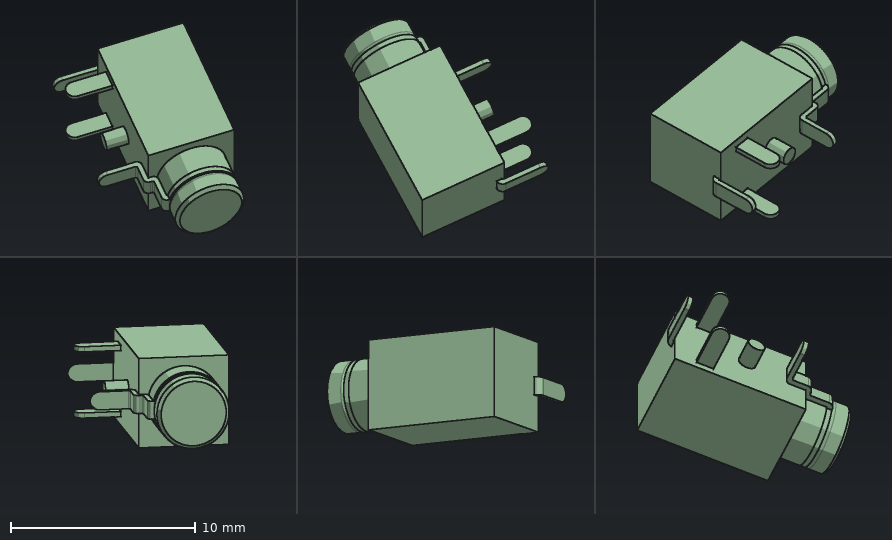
import cadquery as cq

box_length = 7.8
box_side = 5.0
box_front = box_side / 2
barrel_length = 3.0
barrel_radius = 2.0
tip_chamfer = 0.2
tip_round = 0.2
peg_x = 4.29
peg_radius = 0.5
peg_length = 1.28

sheet = 0.3
leg_width = 1.0
leg_reach = 2.51
leg_end_y = -box_front - leg_reach
leg_round_y = leg_end_y + leg_width / 2
inner_bend = 0.1
outer_bend = 0.3

ring_end_x = box_length + 1.8
ring_start_x = ring_end_x - sheet
ring_bore_radius = 1.5
ring_tab = 0.22
sleeve_leg_x = 6.55

rear_overhang = 11.15 - box_length - barrel_length
rear_bend_y = -2.02
rear_outer_bend = inner_bend + sheet
rear_depth = 0.45

tip_leg_x = 1.8
tip_contact_height = 2 * barrel_radius
bridge_depth = 1.0


def rounded_leg_end(leg_x):
    """Half-round end of a leg that is flat in the YZ plane."""
    return (
        cq.Workplane("YZ", origin=(leg_x, leg_round_y, 0))
        .circle(leg_width / 2)
        .extrude(sheet)
    )


def bent_strip(outline, bends):
    """Extrude the strip's side outline and round the corners given in bends."""
    strip = cq.Workplane("XY").polyline(outline).close().extrude(leg_width / 2, both=True)
    for (x, y), radius in bends:
        corner = cq.selectors.NearestToPointSelector((x, y, 0))
        strip = strip.edges("|Z").edges(corner).fillet(radius)
    return strip


def make_sleeve_contact():
    leg_outside = sleeve_leg_x + sheet
    step_outside = box_length + sheet
    mount_y = -box_front
    upper_y = -barrel_radius
    leg_corner = (sleeve_leg_x, mount_y)
    leg_inner = (leg_outside, mount_y - sheet)
    step_low = (step_outside, mount_y - sheet)
    step_inner = (step_outside, upper_y - sheet)
    step_high = (box_length, upper_y)
    ring_corner = (ring_end_x, upper_y - sheet)
    ring_inner = (ring_start_x, upper_y)
    outline = [
        (sleeve_leg_x, leg_round_y),
        leg_corner,
        (box_length, mount_y),
        step_high,
        ring_inner,
        (ring_start_x, upper_y + ring_tab),
        (ring_end_x, upper_y + ring_tab),
        ring_corner,
        step_inner,
        step_low,
        leg_inner,
        (leg_outside, leg_round_y),
    ]
    bends = [(corner, outer_bend) for corner in (leg_corner, step_low, step_high, ring_corner)]
    bends += [(corner, inner_bend) for corner in (leg_inner, step_inner, ring_inner)]
    ring = (
        cq.Workplane("YZ", origin=(ring_start_x, 0, 0))
        .circle(barrel_radius)
        .circle(ring_bore_radius)
        .extrude(sheet)
    )
    return bent_strip(outline, bends).union(rounded_leg_end(sleeve_leg_x)).union(ring)


def make_rear_terminal():
    outer_corner = (-rear_overhang, rear_bend_y)
    inner_corner = (-rear_overhang + sheet, rear_bend_y - sheet)
    outline = [
        (-rear_overhang, leg_round_y),
        outer_corner,
        (rear_depth, rear_bend_y),
        (rear_depth, rear_bend_y - sheet),
        inner_corner,
        (-rear_overhang + sheet, leg_round_y),
    ]
    bends = [(outer_corner, rear_outer_bend), (inner_corner, inner_bend)]
    return bent_strip(outline, bends).union(rounded_leg_end(-rear_overhang))


def make_tip_contact():
    """U-shaped contact: flat legs at top and bottom, bridge behind the mounting face."""
    bridge_y = -box_front + bridge_depth
    contact = (
        cq.Workplane("XY")
        .box(leg_width, sheet, tip_contact_height)
        .translate((tip_leg_x, bridge_y - sheet / 2, 0))
    )
    straight_length = bridge_y - leg_round_y
    for side in (-1, 1):
        leg_z = side * (tip_contact_height - sheet) / 2
        leg = (
            cq.Workplane("XY")
            .box(leg_width, straight_length, sheet)
            .translate((tip_leg_x, bridge_y - straight_length / 2, leg_z))
        )
        leg_end = (
            cq.Workplane("XY", origin=(tip_leg_x, leg_round_y, leg_z - sheet / 2))
            .circle(leg_width / 2)
            .extrude(sheet)
        )
        contact = contact.union(leg).union(leg_end)
    return contact


def make_housing(terminals):
    """Box, barrel and peg in one piece, with a matching recess for each terminal."""
    box = cq.Workplane("XY").box(box_length, box_side, box_side).translate((box_length / 2, 0, 0))
    barrel = (
        cq.Workplane("YZ", origin=(box_length, 0, 0))
        .circle(barrel_radius)
        .extrude(ring_end_x - box_length)
    )
    tip = (
        cq.Workplane("YZ", origin=(ring_end_x, 0, 0))
        .circle(barrel_radius)
        .extrude(box_length + barrel_length - ring_end_x)
        .faces("<X").edges().fillet(tip_round)
        .faces(">X").edges().chamfer(tip_chamfer)
    )
    peg = (
        cq.Workplane("XZ", origin=(peg_x, -box_front, 0))
        .circle(peg_radius)
        .extrude(peg_length)
    )
    housing = box.union(barrel).union(tip).union(peg)
    for terminal in terminals:
        housing = housing.cut(terminal)
    return housing


sleeve_contact = make_sleeve_contact()
rear_terminal = make_rear_terminal()
tip_contact = make_tip_contact()
housing = make_housing([sleeve_contact, rear_terminal, tip_contact])

result = cq.Compound.makeCompound(
    [housing.val(), sleeve_contact.val(), rear_terminal.val(), tip_contact.val()]
)